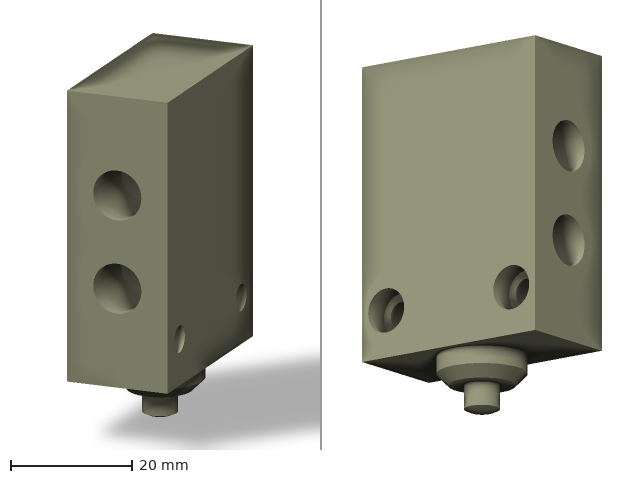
import cadquery as cq
import math

body_x = 18.0
body_y = 36.0
body_z = 50.0

collar_diameter = 15.05
collar_straight = 3.0
collar_chamfer = 2.0

total_z = 59.75
plunger_diameter = 6.0
dome_height = 0.8

port_diameter = 8.6
port_depth = 11.95
drill_tip_angle = 118.0
port_middle = body_z / 2
port_spacing = 16.0

mount_diameter = 4.6
mount_spacing = 26.0
mount_height = 8.0
counterbore_diameter = 7.45
counterbore_depth = 4.25


def make_actuator():
    """Collar and plunger, revolved about Z below the bottom of the block."""
    collar_radius = collar_diameter / 2
    plunger_radius = plunger_diameter / 2
    collar_bottom = -collar_straight - collar_chamfer
    tip = body_z - total_z
    rim = tip + dome_height
    dome_radius = (plunger_radius**2 + dome_height**2) / (2 * dome_height)
    half_angle = math.asin(plunger_radius / dome_radius) / 2
    dome_middle = (
        dome_radius * math.sin(half_angle),
        tip + dome_radius * (1 - math.cos(half_angle)),
    )
    return (
        cq.Workplane("XZ")
        .lineTo(collar_radius, 0)
        .lineTo(collar_radius, -collar_straight)
        .lineTo(collar_radius - collar_chamfer, collar_bottom)
        .lineTo(plunger_radius, collar_bottom)
        .lineTo(plunger_radius, rim)
        .threePointArc(dome_middle, (0, tip))
        .close()
        .revolve(360, (0, 0, 0), (0, 1, 0))
    )


def make_port(side, height):
    """Drill-shaped cutter entering from the -Y face (side -1) or the +Y face (side 1)."""
    port_radius = port_diameter / 2
    tip_length = port_radius / math.tan(math.radians(drill_tip_angle / 2))
    face = side * body_y / 2
    bottom = face - side * port_depth
    return (
        cq.Workplane("XY")
        .moveTo(0, face)
        .lineTo(port_radius, face)
        .lineTo(port_radius, bottom)
        .lineTo(0, bottom - side * tip_length)
        .close()
        .revolve(360, (0, 0, 0), (0, 1, 0))
        .translate((0, 0, height))
    )


def make_mounting_hole(y):
    """Cutter along X: a through hole with a counterbore entering from the -X face."""
    entry = cq.Workplane("YZ", origin=(-body_x / 2, y, mount_height))
    through_hole = entry.circle(mount_diameter / 2).extrude(body_x)
    counterbore = entry.circle(counterbore_diameter / 2).extrude(counterbore_depth)
    return through_hole.union(counterbore)


result = cq.Workplane("XY").box(body_x, body_y, body_z, centered=(True, True, False))
result = result.union(make_actuator())

result = result.cut(make_port(-1, port_middle - port_spacing / 2))
result = result.cut(make_port(-1, port_middle + port_spacing / 2))
result = result.cut(make_port(1, port_middle))

for side in (-1, 1):
    result = result.cut(make_mounting_hole(side * mount_spacing / 2))